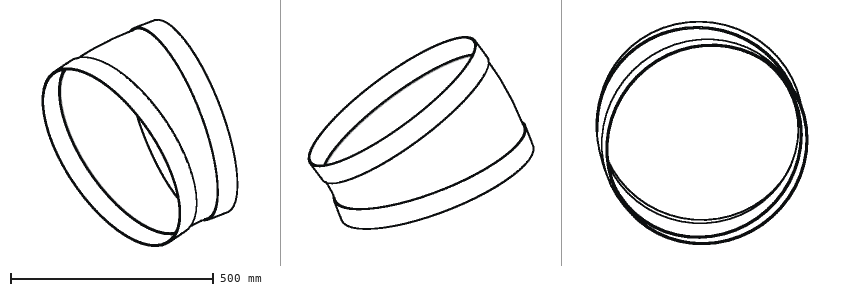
import cadquery as cq
import math

collar_outer_diameter = 508.0
body_outer_diameter = 500.0
wall = (collar_outer_diameter - body_outer_diameter) / 2
collar_length = 54.0
bend_radius = body_outer_diameter
bend_angle = 15
spigot_length = 2.5

collar_outer_radius = collar_outer_diameter / 2
body_outer_radius = body_outer_diameter / 2
body_inner_radius = body_outer_radius - wall

bend_angle_rad = math.radians(bend_angle)
bend_end = (
    bend_radius * (1 - math.cos(bend_angle_rad)),
    bend_radius * math.sin(bend_angle_rad),
    0,
)
end_direction = (math.sin(bend_angle_rad), math.cos(bend_angle_rad), 0)
start_plane = cq.Plane(origin=(0, 0, 0), xDir=(1, 0, 0), normal=(0, -1, 0))
end_plane = cq.Plane(origin=bend_end, xDir=(0, 0, 1), normal=end_direction)


def ring(plane, outer_radius, length):
    """Straight tube of the common wall thickness, extruded outward from a bend end."""
    return cq.Workplane(plane).circle(outer_radius).circle(outer_radius - wall).extrude(length)


def curved_body():
    """Tube revolved about a vertical axis through the bend centre."""
    return (
        cq.Workplane(start_plane)
        .circle(body_outer_radius)
        .circle(body_inner_radius)
        .revolve(bend_angle, (bend_radius, 0), (bend_radius, -1))
    )


result = curved_body()
for plane in (start_plane, end_plane):
    spigot = ring(plane, body_outer_radius, spigot_length)
    collar = ring(plane, collar_outer_radius, collar_length)
    result = result.union(spigot.union(collar))